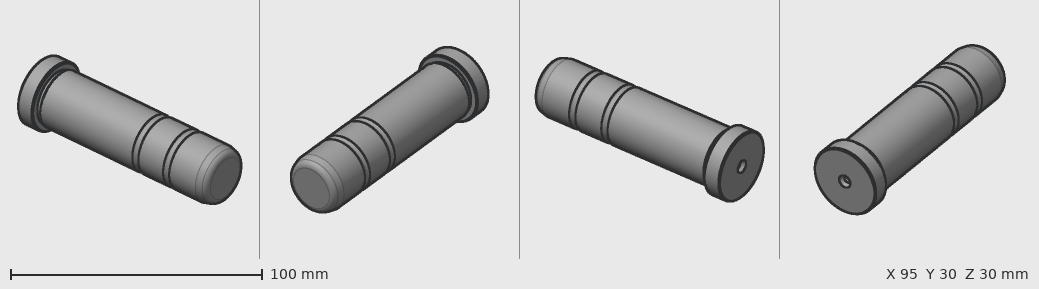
import cadquery as cq
import math

length = 95.0

head_radius = 15.0
head_thickness = 7.8
head_chamfer = 0.5
neck_radius = 12.0
neck_end = 9.8

shaft_radius = 12.5
taper_start = 90.0
taper_end = 92.9
taper_end_radius = 11.8

groove_starts = (57.4, 73.3)
groove_width = 3.1
groove_depth = 0.7

center_mouth_radius = 2.8
center_pilot_radius = 1.6
center_cone_angle = 60.0
center_pilot_length = 2.85
drill_point_angle = 118.0


def cone_height(radius_change, included_angle):
    return radius_change / math.tan(math.radians(included_angle / 2))


def revolve_about_axis(outline):
    return outline.close().revolve(360, (0, 0, 0), (1, 0, 0))


def make_body():
    taper_angle = math.atan2(shaft_radius - taper_end_radius, taper_end - taper_start)
    tip_round = (length - taper_end) / (1 - math.sin(taper_angle))
    end_face_radius = taper_end_radius - tip_round * math.cos(taper_angle)
    outline = (
        cq.Workplane("XY")
        .lineTo(0, head_radius - head_chamfer)
        .lineTo(head_chamfer, head_radius)
        .lineTo(head_thickness - head_chamfer, head_radius)
        .lineTo(head_thickness, head_radius - head_chamfer)
        .lineTo(head_thickness, neck_radius)
        .lineTo(neck_end, neck_radius)
        .lineTo(neck_end, shaft_radius)
        .lineTo(taper_start, shaft_radius)
        .lineTo(taper_end, taper_end_radius)
        .tangentArcPoint((length, end_face_radius), relative=False)
        .lineTo(length, 0)
    )
    return revolve_about_axis(outline)


def make_groove(start):
    outline = (
        cq.Workplane("XY")
        .moveTo(start, shaft_radius)
        .threePointArc(
            (start + groove_width / 2, shaft_radius - groove_depth),
            (start + groove_width, shaft_radius),
        )
        .lineTo(start + groove_width, head_radius)
        .lineTo(start, head_radius)
    )
    return revolve_about_axis(outline)


def make_center_hole():
    cone_end = cone_height(center_mouth_radius - center_pilot_radius, center_cone_angle)
    pilot_end = cone_end + center_pilot_length
    point_end = pilot_end + cone_height(center_pilot_radius, drill_point_angle)
    outline = (
        cq.Workplane("XY")
        .lineTo(0, center_mouth_radius)
        .lineTo(cone_end, center_pilot_radius)
        .lineTo(pilot_end, center_pilot_radius)
        .lineTo(point_end, 0)
    )
    return revolve_about_axis(outline)


result = make_body().cut(make_center_hole())
for groove_start in groove_starts:
    result = result.cut(make_groove(groove_start))